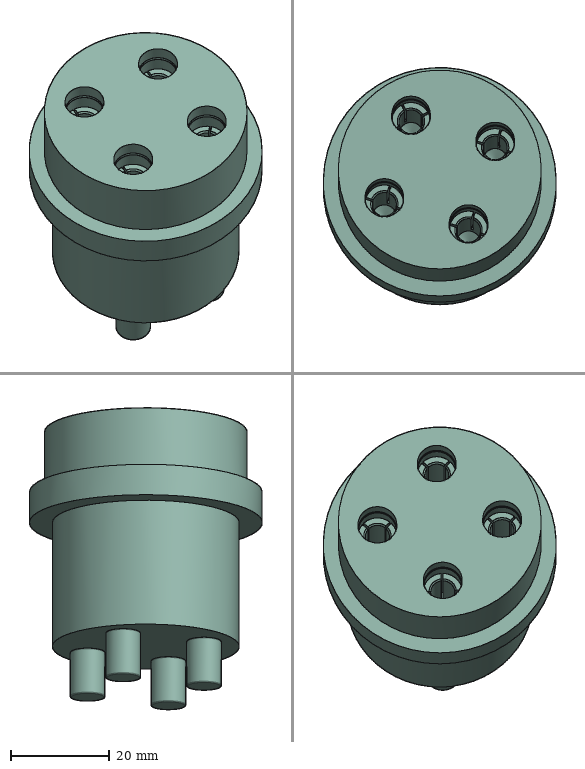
import cadquery as cq

height = 54.5
base_dia = 38.1
flange_dia = 47.5
cap_dia = 41.3
base_bottom = 9.5
flange_bottom = 35.5
flange_top = 41.85

contact_spacing = 18.0
head_dia = 7.9
bead_top_depth = 2.9
bead_height = 0.6
bead_projection = 0.135

head_recess = 6.55
head_length = 19.1
tail_dia = 7.1
tail_edge_round = 0.2
bore_dia = 4.9
bore_mouth_bevel = 0.3
bore_depth = 13.1
bore_cone_depth = 1.4
slit_width = 0.4
slit_depth = 10.9
slit_angle = 0.0
turned_slit_angle = 45.0

head_top = height - head_recess
shoulder = head_top - head_length
shank_dia = tail_dia - 2 * tail_edge_round
contact_offset = contact_spacing / 2


def cylinder(diameter, bottom, top):
    """A round bar on the Z axis between two heights."""
    return cq.Workplane("XY").workplane(offset=bottom).circle(diameter / 2).extrude(top - bottom)


def revolve_about_z(profile):
    """A full turn of a closed XZ profile about the Z axis."""
    return profile.revolve(360, (0, 0, 0), (0, 1, 0))


def make_contact_hole():
    """Cutter for one stepped through hole, waisted where the bead stays."""
    hole_radius = head_dia / 2
    bead_top = height - bead_top_depth
    bead_middle = bead_top - bead_height / 2
    bead_bottom = bead_top - bead_height
    wide_part = revolve_about_z(
        cq.Workplane("XZ")
        .moveTo(0, shoulder)
        .lineTo(hole_radius, shoulder)
        .lineTo(hole_radius, bead_bottom)
        .threePointArc((hole_radius - bead_projection, bead_middle), (hole_radius, bead_top))
        .lineTo(hole_radius, height)
        .lineTo(0, height)
        .close()
    )
    return wide_part.union(cylinder(shank_dia, base_bottom, shoulder))


def make_housing(centres):
    """Stepped round body with one through hole per contact."""
    body = cylinder(base_dia, base_bottom, flange_bottom)
    body = body.union(cylinder(flange_dia, flange_bottom, flange_top))
    body = body.union(cylinder(cap_dia, flange_top, height))
    hole = make_contact_hole()
    for x, y in centres:
        body = body.cut(hole.translate((x, y, 0)))
    return body


def make_bore():
    """Cutter for the socket bore, with a bevelled mouth and a conical bottom."""
    bore_radius = bore_dia / 2
    bore_floor = head_top - bore_depth
    return revolve_about_z(
        cq.Workplane("XZ")
        .moveTo(0, head_top)
        .lineTo(bore_radius + bore_mouth_bevel, head_top)
        .lineTo(bore_radius, head_top - bore_mouth_bevel)
        .lineTo(bore_radius, bore_floor)
        .lineTo(0, bore_floor - bore_cone_depth)
        .close()
    )


def make_slits():
    """Cutter for two crossed slits that split the socket wall into four fingers."""
    slit = (
        cq.Workplane("XY")
        .workplane(offset=head_top - slit_depth)
        .rect(head_dia + slit_width, slit_width)
        .extrude(slit_depth)
    )
    return slit.union(slit.rotate((0, 0, 0), (0, 0, 1), 90))


def make_contact(x, y, angle):
    """One contact, turned about its own axis and placed at x, y."""
    head = cylinder(head_dia, shoulder, head_top).cut(make_bore()).cut(make_slits())
    shank = cylinder(shank_dia, base_bottom, shoulder)
    tail = cylinder(tail_dia, 0, base_bottom).edges("%CIRCLE").fillet(tail_edge_round)
    contact = tail.union(shank).union(head)
    return contact.rotate((0, 0, 0), (0, 0, 1), angle).translate((x, y, 0))


contact_centres = [
    (x, y) for x in (-contact_offset, contact_offset) for y in (-contact_offset, contact_offset)
]

housing = make_housing(contact_centres)

contacts = []
for x, y in contact_centres:
    is_turned = x > 0 and y > 0
    contacts.append(make_contact(x, y, turned_slit_angle if is_turned else slit_angle))

result = cq.Compound.makeCompound([housing.val()] + [contact.val() for contact in contacts])